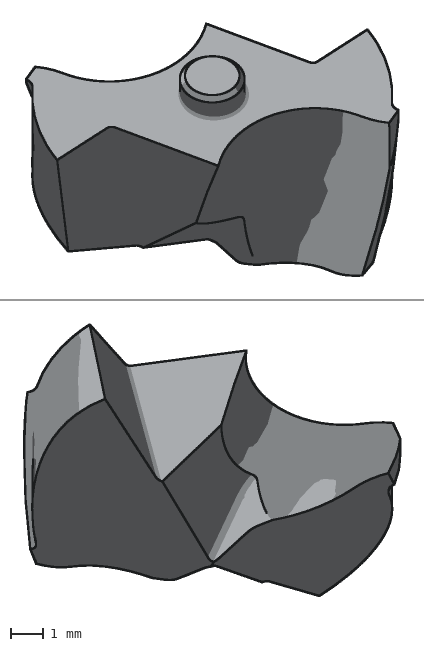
import cadquery as cq
import math


margin_radius = 5.8
body_radius = 5.55
head_height = 6.33
blank_height = 7.5
helix_angle = 30.0
point_angle = 141.0

pin_radius = 1.0
pin_height = 0.84
pin_chamfer = 0.16
pin_base_fillet = 0.14

margin_end_angle = 21.0
clearance_start_angle = 24.3
flute_radius = 3.03
flute_center = (4.48, -1.73)
flute_end_angle = 89.2
flute_start_angle = 203.0
lip_corner_angle = 15.3
blank_corner_angle = 300.0

wall_offset = 2.637
wall_lean = 1.2
side_offset = 1.17
side_skew = 20.5
side_lean = 10.6
notch_fillet = 0.2

lip_relief_angle = 4.5
back_relief_angle = 21.6
gash_angle = 33.0
gash_offset = 0.01
gash_length = 1.24
gash_round = 0.75
gash_end = 3.0
gash_floor_slope_x = 1.06
gash_floor_slope_y = -0.994
gash_fillet = 0.26

clip_offset = 5.397
clip_angle = 15.0

cutter_size = 40.0


def polar(radius, degrees, center=(0, 0)):
    angle = math.radians(degrees)
    return (center[0] + radius * math.cos(angle), center[1] + radius * math.sin(angle))


def half_turn(point):
    return (-point[0], -point[1])


def tan(degrees):
    return math.tan(math.radians(degrees))


def half_space(origin, normal):
    """Large block whose one face passes through the origin point; it lies on the normal's side."""
    plane = cq.Plane(origin=origin, normal=normal)
    return cq.Workplane(plane).rect(cutter_size, cutter_size).extrude(cutter_size / 2)


def cut_pair(part, cutter):
    """Cut the part with the cutter and with its copy half a turn about Z."""
    return part.cut(cutter).cut(cutter.rotate((0, 0, 0), (0, 0, 1), 180))


def twisted_blank():
    """Fluted section with margins, twisted along the helix so it matches the seat at Z = 0."""
    twist = math.degrees(blank_height * tan(helix_angle) / margin_radius)
    flute_mid_angle = (flute_start_angle + flute_end_angle) / 2
    margin_mid_angle = (lip_corner_angle + margin_end_angle) / 2
    body_end_angle = blank_corner_angle - 180
    body_mid_angle = (clearance_start_angle + body_end_angle) / 2

    blank_corner = polar(body_radius, blank_corner_angle)
    flute_start = polar(flute_radius, flute_start_angle, flute_center)
    flute_mid = polar(flute_radius, flute_mid_angle, flute_center)
    flute_end = polar(flute_radius, flute_end_angle, flute_center)
    lip_corner = polar(margin_radius, lip_corner_angle)
    margin_mid = polar(margin_radius, margin_mid_angle)
    margin_end = polar(margin_radius, margin_end_angle)
    clearance_start = polar(body_radius, clearance_start_angle)
    body_mid = polar(body_radius, body_mid_angle)

    chord = (margin_end[0] - clearance_start[0], margin_end[1] - clearance_start[1])
    chord_angle = math.degrees(math.atan2(chord[1], chord[0]))
    bend = chord_angle - (clearance_start_angle - 90)
    sag = math.hypot(*chord) / 2 * tan(bend / 2)
    chord_mid = ((margin_end[0] + clearance_start[0]) / 2, (margin_end[1] + clearance_start[1]) / 2)
    step_mid = polar(sag, chord_angle - 90, chord_mid)

    section = cq.Workplane("XY", origin=(0, 0, -blank_height)).moveTo(*blank_corner)
    for place in (lambda point: point, half_turn):
        section = (
            section.lineTo(*place(flute_start))
            .threePointArc(place(flute_mid), place(flute_end))
            .tangentArcPoint(place(lip_corner), relative=False)
            .threePointArc(place(margin_mid), place(margin_end))
            .threePointArc(place(step_mid), place(clearance_start))
            .threePointArc(place(body_mid), place(half_turn(blank_corner)))
        )
    blank = section.close().twistExtrude(blank_height, twist)
    return blank.rotate((0, 0, 0), (0, 0, 1), -twist)


def notch_cutter():
    """Filleted corner between the wall (Y limit) and the leaning side face (X limit)."""
    wall_normal = cq.Vector(0, 1, -tan(wall_lean))
    side_normal = cq.Vector(-1, tan(side_skew), tan(side_lean))
    wall = half_space((0, wall_offset, 0), wall_normal)
    side = half_space((side_offset, 0, 0), side_normal)
    corner = cq.selectors.ParallelDirSelector(wall_normal.cross(side_normal))
    return wall.intersect(side).edges(corner).fillet(notch_fillet)


def relief_cutter(relief_angle):
    """Space below a relief plane that meets the ridge of the +X lobe at Y = 0."""
    ridge_slope = tan(90 - point_angle / 2)
    return half_space((0, 0, -head_height), (ridge_slope, tan(relief_angle), -1))


def floor_height(x, y):
    """Z of the gash floor on the -Y side."""
    return gash_floor_slope_x * x + gash_floor_slope_y * y - head_height


def gash_cutter():
    """Web-thinning gash on the -Y side: upright rake face, rounded end, sloping floor."""
    rake_slope = -tan(gash_angle)
    rake_end = (gash_length, rake_slope * gash_length - gash_offset)
    rake_start = (-gash_length, -rake_slope * gash_length - gash_offset)
    round_center = polar(gash_round, 90 - gash_angle, rake_end)
    round_mid = polar(gash_round, 270 - gash_angle / 2, round_center)
    round_end = polar(gash_round, 270, round_center)
    flat_mid = ((round_end[0] + gash_end) / 2, round_end[1])
    outside = -cutter_size / 4
    prism = (
        cq.Workplane("XY", origin=(0, 0, -cutter_size / 4))
        .moveTo(*rake_start)
        .lineTo(*rake_end)
        .threePointArc(round_mid, round_end)
        .lineTo(gash_end, round_end[1])
        .lineTo(gash_end, outside)
        .lineTo(rake_start[0], outside)
        .close()
        .extrude(cutter_size / 2)
    )
    floor_normal = cq.Vector(gash_floor_slope_x, gash_floor_slope_y, -1)
    cutter = prism.intersect(half_space((0, 0, -head_height), floor_normal))

    floor = cutter.faces(cq.selectors.DirectionMinMaxSelector(floor_normal, False))
    corner = [
        floor.edges(cq.selectors.NearestToPointSelector((x, y, floor_height(x, y)))).val()
        for x, y in ((0, -gash_offset), round_mid, flat_mid)
    ]
    return cutter.newObject(corner).fillet(gash_fillet)


def pin():
    """Locating pin with a chamfered top and a filleted base."""
    top_radius = pin_radius - pin_chamfer
    base_radius = pin_radius + pin_base_fillet
    return (
        cq.Workplane("XZ")
        .lineTo(base_radius, 0)
        .radiusArc((pin_radius, pin_base_fillet), pin_base_fillet)
        .lineTo(pin_radius, pin_height - pin_chamfer)
        .lineTo(top_radius, pin_height)
        .lineTo(0, pin_height)
        .close()
        .revolve(360, (0, 0), (0, 1))
    )


head = twisted_blank()
head = cut_pair(head, half_space((clip_offset, 0, 0), (1, 0, tan(clip_angle))))
head = cut_pair(head, notch_cutter())
head = cut_pair(head, relief_cutter(lip_relief_angle))
head = cut_pair(head, relief_cutter(back_relief_angle))
head = cut_pair(head, gash_cutter())

result = head.union(pin())